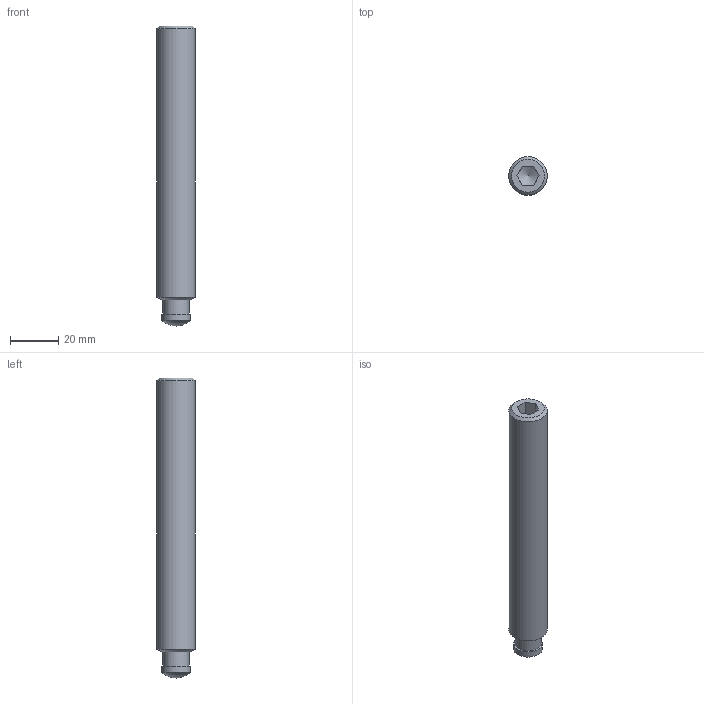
import cadquery as cq
import math

total_length = 125.0
body_diameter = 16.0
tip_end_z = 0.0
top_z = tip_end_z + total_length

tip_diameter = 12.0
dome_radius = 9.0
tip_length = 5.0
neck_diameter = 11.0

shoulder_z = 10.85
shoulder_height = 1.15
top_chamfer = 1.14

socket_across_flats = 8.0
socket_wall_depth = 10.0
drill_point_angle = 120.0


def make_turned_body():
    """Revolve the half profile of body, neck and domed tip about Z."""
    body_radius = body_diameter / 2
    tip_radius = tip_diameter / 2
    neck_radius = neck_diameter / 2

    dome_height = dome_radius - math.sqrt(dome_radius**2 - tip_radius**2)
    half_dome_angle = math.asin(tip_radius / dome_radius) / 2
    dome_mid_x = dome_radius * math.sin(half_dome_angle)
    dome_mid_z = tip_end_z + dome_radius * (1 - math.cos(half_dome_angle))
    tip_top_z = tip_end_z + tip_length

    profile = (
        cq.Workplane("XZ")
        .moveTo(0, tip_end_z)
        .threePointArc((dome_mid_x, dome_mid_z), (tip_radius, tip_end_z + dome_height))
        .lineTo(tip_radius, tip_top_z)
        .lineTo(neck_radius, tip_top_z)
        .lineTo(neck_radius, shoulder_z)
        .lineTo(body_radius, shoulder_z + shoulder_height)
        .lineTo(body_radius, top_z - top_chamfer)
        .lineTo(body_radius - top_chamfer, top_z)
        .lineTo(0, top_z)
        .close()
    )
    return profile.revolve(360, (0, 0, 0), (0, 1, 0))


def make_hex_socket():
    """Hexagonal prism, corners on X, cut to a conical point at its lower end."""
    across_corners = socket_across_flats / math.cos(math.radians(30))
    corner_radius = across_corners / 2
    cone_depth = corner_radius / math.tan(math.radians(drill_point_angle / 2))
    wall_end_z = top_z - socket_wall_depth
    apex_z = wall_end_z - cone_depth

    prism = (
        cq.Workplane("XY")
        .workplane(offset=apex_z)
        .polygon(6, across_corners)
        .extrude(top_z - apex_z)
    )
    drilled_hole = (
        cq.Workplane("XZ")
        .moveTo(0, apex_z)
        .lineTo(corner_radius, wall_end_z)
        .lineTo(corner_radius, top_z)
        .lineTo(0, top_z)
        .close()
        .revolve(360, (0, 0, 0), (0, 1, 0))
    )
    return prism.intersect(drilled_hole)


result = make_turned_body().cut(make_hex_socket())